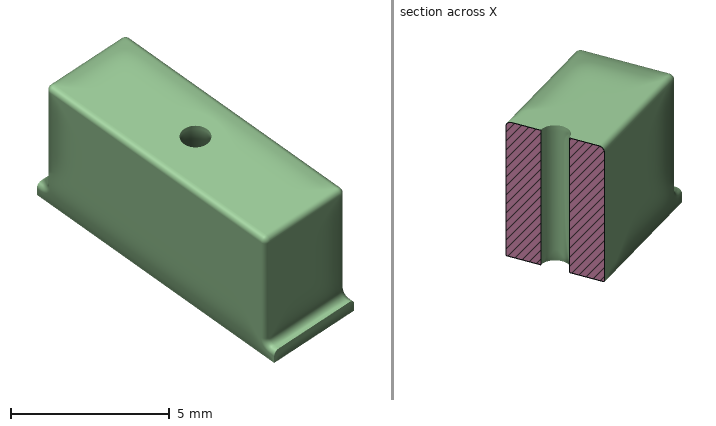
import cadquery as cq

length = 10.8
width = 3.5
height = 5.0
body_length = 10.0
foot_height = 0.5
edge_radius = 0.2
hole_diameter = 1.0

half_body = body_length / 2


def make_block():
    """Tall body standing on a thin foot that projects at both ends."""
    foot = cq.Workplane("XY").box(length, width, foot_height, centered=(True, True, False))
    body = cq.Workplane("XY").box(body_length, width, height, centered=(True, True, False))
    return foot.union(body)


def blend_foot(block):
    """Concave fillets where the body ends meet the foot."""
    corner_selector = cq.selectors.BoxSelector(
        (-half_body - edge_radius, -width, foot_height - edge_radius),
        (half_body + edge_radius, width, foot_height + edge_radius),
    )
    return block.edges("|Y").edges(corner_selector).fillet(edge_radius)


def round_edges(block):
    """Round the long side outlines and top ends; base and foot ends stay sharp."""
    sharp_edges = block.faces("<Z or <X or >X").edges()
    side_outline = block.faces("<Y or >Y").edges()
    top_rim = block.faces(">Z").edges()
    rounded = side_outline.add(top_rim)
    sharp = sharp_edges.vals()
    edges = [edge for edge in rounded.vals() if not any(edge.isSame(other) for other in sharp)]
    return block.newObject(edges).fillet(edge_radius)


def drill_hole(block):
    """Central vertical through hole."""
    drill = cq.Workplane("XY").circle(hole_diameter / 2).extrude(height)
    return block.cut(drill)


result = drill_hole(round_edges(blend_foot(make_block())))